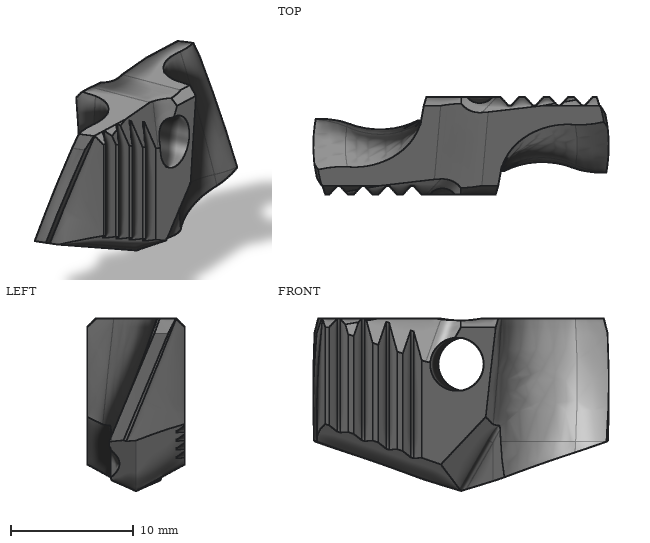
import cadquery as cq
import math

thickness = 8.0
height = 14.13
radius = 12.1
half_thick = thickness / 2
margin = 48.4

body_twist = 20.0
foot_twist = 7.5
foot_height = 4.1
web_corner = (3.32, -1.85)
flute_middle = (4.85, 0.4)
flute_shoulder = (7.45, 1.62)
flute_end = (9.35, 1.72)
rake_middle = (10.65, 1.77)
land_start_angle = 9.6
land_end_angle = 15.0
heel_start_angle = 16.2
heel_angle = 45.0
heel_drop = 0.3
heel_overrun = 7.25
web_lean = 0.18

top_chamfer = 0.73
rim_chamfer_width = 0.25
rim_chamfer_height = 1.2

point_slope = 0.35
primary_clearance = 0.06
secondary_clearance = 0.40
gash_slope_x = 1.06
gash_slope_y = 0.98
gash_wall_slope = 0.7
gash_wall_length = 2.6
gash_outlet_radius = 1.45
gash_outlet_angle = 30.0
gash_fillet = 0.36

hole_diameter = 4.35
hole_offset = 0.35
hole_z = 10.38
groove_radius = 11.37
groove_depth = 0.17

serration_pitch = 2.0
serration_count = 4
first_serration_x = -4.0
serration_depth = 0.7
serration_half_width = 0.77
serration_flat = 0.25

seat_end = (-2.9, 10.6)
seat_turn = 19.5
seat_tilt = 19.3
seat_radius = 1.94


def polar(r, angle):
    a = math.radians(angle)
    return (r * math.cos(a), r * math.sin(a))


def opposite(point):
    return (-point[0], -point[1])


def cut_pair(body, tool):
    """Cut a tool and its copy turned half a turn about Z."""
    return body.cut(tool).cut(tool.rotate((0, 0, 0), (0, 0, 1), 180))


def half_space(normal):
    """Large block on the normal side of a plane through the tip."""
    plane = cq.Plane(origin=(0, 0, 0), normal=normal)
    return cq.Workplane(plane).rect(margin, margin).extrude(margin)


def add_wing(sketch, turn):
    """Outline of one wing from its web corner to the opposite web corner."""
    heel_middle_angle = (heel_start_angle + heel_angle) / 2
    web_reach = heel_overrun + web_corner[1]
    web_end = (-web_corner[0] + web_lean * web_reach, heel_overrun)
    return (
        sketch.spline(
            [turn(flute_middle), turn(flute_shoulder), turn(flute_end)], includeCurrent=True
        )
        .threePointArc(turn(rake_middle), turn(polar(radius, land_start_angle)))
        .threePointArc(
            turn(polar(radius, (land_start_angle + land_end_angle) / 2)),
            turn(polar(radius, land_end_angle)),
        )
        .lineTo(*turn(polar(radius - heel_drop, heel_start_angle)))
        .threePointArc(
            turn(polar(radius - heel_drop, heel_middle_angle)),
            turn(polar(radius - heel_drop, heel_angle)),
        )
        .lineTo(*turn(web_end))
        .lineTo(*turn(opposite(web_corner)))
    )


def section():
    outline = cq.Workplane("XY").moveTo(*web_corner)
    outline = add_wing(outline, lambda point: point)
    return add_wing(outline, opposite).close()


def twisted_blank():
    """Helical foot and body, turned so the top face has the described section."""
    foot = section().twistExtrude(foot_height, foot_twist)
    body = section().twistExtrude(height - foot_height, body_twist)
    body = body.rotate((0, 0, 0), (0, 0, 1), foot_twist).translate((0, 0, foot_height))
    return foot.union(body).rotate((0, 0, 0), (0, 0, 1), -foot_twist - body_twist)


def slab():
    base = cq.Workplane("XY").box(2 * radius, thickness, height, centered=(True, True, False))
    return base.faces(">Z").edges("|X").chamfer(top_chamfer)


def rim():
    """Revolved envelope with a steep lead-in at the top."""
    return (
        cq.Workplane("XZ")
        .polyline([
            (0, 0),
            (radius, 0),
            (radius, height - rim_chamfer_height),
            (radius - rim_chamfer_width, height),
            (0, height),
        ])
        .close()
        .revolve(360, (0, 0, 0), (0, 1, 0))
    )


def gash():
    """Notch that thins the web, bounded by a rounded vertical wall and a sloping floor."""
    wall_angle = -math.degrees(math.atan(gash_wall_slope))
    wall_end = cq.Vector(gash_wall_length, -gash_wall_slope * gash_wall_length)
    centre = wall_end + cq.Vector(*polar(gash_outlet_radius, wall_angle + 90))

    def outlet_point(heading):
        point = centre + cq.Vector(*polar(gash_outlet_radius, heading - 90))
        return (point.x, point.y)

    outlet_end = outlet_point(gash_outlet_angle)
    wall_side = (
        cq.Workplane("XY")
        .workplane(offset=-margin / 2)
        .moveTo(-margin, gash_wall_slope * margin)
        .lineTo(wall_end.x, wall_end.y)
        .threePointArc(outlet_point((wall_angle + gash_outlet_angle) / 2), outlet_end)
        .lineTo(outlet_end[0], -margin)
        .lineTo(-margin, -margin)
        .close()
        .extrude(margin)
    )
    floor_side = half_space((gash_slope_x, -gash_slope_y, -1))
    notch = wall_side.intersect(floor_side)
    root = cq.Vector(1, -gash_wall_slope, gash_slope_x + gash_slope_y * gash_wall_slope)
    return notch.edges(cq.selectors.ParallelDirSelector(root)).fillet(gash_fillet)


def serrations():
    tip = -half_thick + serration_depth
    tools = cq.Workplane("XY")
    for index in range(serration_count):
        x = first_serration_x - index * serration_pitch
        tools = tools.union(
            cq.Workplane("XY")
            .polyline([
                (x - serration_half_width, -half_thick),
                (x - serration_flat / 2, tip),
                (x + serration_flat / 2, tip),
                (x + serration_half_width, -half_thick),
            ])
            .close()
            .extrude(height)
        )
    return tools


def seat():
    """Round-ended cutter turned in the broad face, then tilted into it."""
    turn = math.radians(seat_turn)
    tilt = math.radians(seat_tilt)
    along = (math.cos(turn), 0, -math.sin(turn))
    uphill = cq.Vector(
        math.sin(turn) * math.cos(tilt), math.sin(tilt), math.cos(turn) * math.cos(tilt)
    )
    plane = cq.Plane(
        origin=cq.Vector(seat_end[0], -half_thick, seat_end[1]) - uphill * height,
        xDir=along,
        normal=uphill,
    )
    bulge = seat_radius * math.sqrt(0.5)
    return (
        cq.Workplane(plane)
        .lineTo(-margin, 0)
        .lineTo(-margin, -margin)
        .lineTo(seat_radius, -margin)
        .lineTo(seat_radius, -seat_radius)
        .threePointArc((bulge, bulge - seat_radius), (0, 0))
        .close()
        .extrude(2 * height)
    )


def cross_cylinder(r, z):
    """Cylinder through the thickness, leaning slightly towards +X."""
    direction = cq.Vector(hole_offset, half_thick, 0).normalized()
    start = cq.Vector(0, 0, z) - direction * thickness
    return cq.Workplane(cq.Solid.makeCylinder(r, 2 * thickness, start, direction))


result = twisted_blank().intersect(slab()).intersect(rim())
result = cut_pair(result, half_space((-point_slope, -secondary_clearance, -1)))
result = cut_pair(result, half_space((-point_slope, -primary_clearance, -1)))
result = cut_pair(result, gash())
result = cut_pair(result, serrations())
result = cut_pair(result, seat())
result = result.cut(cross_cylinder(hole_diameter / 2, hole_z))
result = result.cut(cross_cylinder(groove_radius, height - groove_depth + groove_radius))